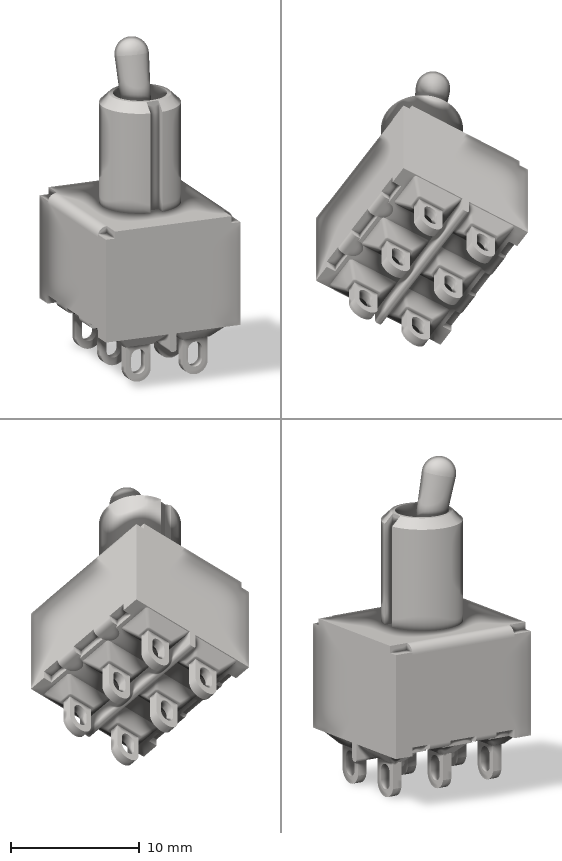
import cadquery as cq
import math

TOTAL_HEIGHT = 25.82
BODY_LENGTH = 12.7
BODY_WIDTH = 11.45
BODY_BOTTOM = 3.95
BODY_TOP = 12.88

FRAME_SPAN = 9.58
BEND_RADIUS = 0.77
LEDGE_DEPTH = 0.57
NOTCH_HEIGHT = 0.7
NOTCH_DEPTH = BEND_RADIUS

TAB_WIDTH = 1.9
TAB_DROP = 0.52
TAB_BEND_RADIUS = 0.45
TAB_OFFSET = 2.17
SEAT_RADIUS = 0.77

BUSHING_DIAMETER = 6.38
BUSHING_TOP = 21.75
BUSHING_RIM_DIAMETER = 4.85
BUSHING_CHAMFER_HEIGHT = 0.72
BORE_DIAMETER = 4.2
KEYWAY_WIDTH = 1.0
KEYWAY_FACE_X = 2.4

PIVOT_Z = 17.3
LEVER_TILT = 12.5
LEVER_TIP_RADIUS = 1.35
LEVER_TAPER = 2.6

TERMINAL_PITCH_X = 4.7
TERMINAL_PITCH_Y = 4.83
TERMINAL_THICKNESS = 0.77
TERMINAL_WIDTH = 2.12
TERMINAL_END_SAGITTA = 0.85
EYE_BOTTOM = 0.62
EYE_TOP = 2.63
EYE_WIDTH = 1.2

COLLAR_HEIGHT = 0.95
COLLAR_TOP_LENGTH = 3.12
COLLAR_TOP_WIDTH = 4.36
COLLAR_TAPER = 44.0
COLLAR_CORNER_RADIUS = 0.34
COLLAR_RIM_RADIUS = 0.13

BARRIER_BOTTOM = 2.48
BARRIER_THICKNESS = 0.6
BARRIER_FILLET = 0.23


def block(x_size, y_size, z_low, z_high, x=0.0, y=0.0):
    """Box centred on (x, y) between two heights."""
    box = cq.Workplane("XY").box(x_size, y_size, z_high - z_low, centered=(True, True, False))
    return box.translate((x, y, z_low))


def make_tab(side, x):
    """Tab that turns inward under the long wall; side is -1 or +1 along Y."""
    notch_top = BODY_BOTTOM + NOTCH_HEIGHT
    tab = block(TAB_WIDTH, NOTCH_DEPTH, notch_top - TAB_DROP, notch_top)
    outer_face = "<Y" if side < 0 else ">Y"
    tab = tab.faces(outer_face).edges("<Z").fillet(TAB_BEND_RADIUS)
    return tab.translate((x, side * (BODY_WIDTH - NOTCH_DEPTH) / 2, 0))


def make_seat(x, y):
    """Recess below a tab, widening conically up to the tab width."""
    mouth_radius = TAB_WIDTH / 2
    tab_bottom = BODY_BOTTOM + NOTCH_HEIGHT - TAB_DROP
    profile = [
        (0, BODY_BOTTOM),
        (SEAT_RADIUS, BODY_BOTTOM),
        (mouth_radius, tab_bottom),
        (0, tab_bottom),
    ]
    return cq.Workplane("XZ").polyline(profile).close().revolve(360, (0, 0), (0, 1)).translate((x, y, 0))


def make_housing():
    housing = block(BODY_LENGTH, BODY_WIDTH, BODY_BOTTOM, BODY_TOP)
    housing = housing.faces(">Z").edges("|X").fillet(BEND_RADIUS)
    ledge_length = (BODY_LENGTH - FRAME_SPAN) / 2
    ledge_x = (BODY_LENGTH - ledge_length) / 2
    strip_y = (BODY_WIDTH - BEND_RADIUS) / 2
    for x in (-ledge_x, ledge_x):
        for y in (-strip_y, strip_y):
            shoulder = block(ledge_length, BEND_RADIUS, BODY_TOP - BEND_RADIUS, BODY_TOP - LEDGE_DEPTH, x, y)
            ledge = block(ledge_length, BEND_RADIUS, BODY_TOP - LEDGE_DEPTH, BODY_TOP, x, y)
            housing = housing.union(shoulder).cut(ledge)
    for side in (-1, 1):
        notch = block(FRAME_SPAN, NOTCH_DEPTH, BODY_BOTTOM, BODY_BOTTOM + NOTCH_HEIGHT, 0, side * strip_y)
        housing = housing.cut(notch)
        for x in (-TAB_OFFSET, TAB_OFFSET):
            housing = housing.cut(make_seat(x, side * (BODY_WIDTH / 2 - NOTCH_DEPTH)))
            housing = housing.union(make_tab(side, x))
    return housing


def make_bushing():
    """Bushing whose blind bore is closed by the lever ball."""
    radius = BUSHING_DIAMETER / 2
    rim = BUSHING_RIM_DIAMETER / 2
    ball = BORE_DIAMETER / 2
    diagonal = ball * math.cos(math.pi / 4)
    bushing = (
        cq.Workplane("XZ")
        .moveTo(0, BODY_TOP)
        .lineTo(radius, BODY_TOP)
        .lineTo(radius, BUSHING_TOP - BUSHING_CHAMFER_HEIGHT)
        .lineTo(rim, BUSHING_TOP)
        .lineTo(ball, BUSHING_TOP)
        .lineTo(ball, PIVOT_Z)
        .threePointArc((diagonal, PIVOT_Z + diagonal), (0, PIVOT_Z + ball))
        .close()
        .revolve(360, (0, 0), (0, 1))
    )
    keyway_depth = radius - KEYWAY_FACE_X
    keyway = block(keyway_depth, KEYWAY_WIDTH, BODY_TOP, BUSHING_TOP, KEYWAY_FACE_X + keyway_depth / 2)
    return bushing.cut(keyway)


def make_lever():
    """Tapered lever with a domed tip, tilted toward -X about the ball centre."""
    tilt = math.radians(LEVER_TILT)
    dome_distance = (TOTAL_HEIGHT - LEVER_TIP_RADIUS - PIVOT_Z) / math.cos(tilt)
    root_radius = LEVER_TIP_RADIUS - dome_distance * math.tan(math.radians(LEVER_TAPER))
    diagonal = LEVER_TIP_RADIUS * math.cos(math.pi / 4)
    lever = (
        cq.Workplane("XZ")
        .lineTo(root_radius, 0)
        .lineTo(LEVER_TIP_RADIUS, dome_distance)
        .threePointArc((diagonal, dome_distance + diagonal), (0, dome_distance + LEVER_TIP_RADIUS))
        .close()
        .revolve(360, (0, 0), (0, 1))
    )
    return lever.rotate((0, 0, 0), (0, 1, 0), -LEVER_TILT).translate((0, 0, PIVOT_Z))


def make_terminal():
    """Flat lug with a rounded end, an eye and a sloped collar at its root."""
    half = TERMINAL_WIDTH / 2
    lug = (
        cq.Workplane("YZ")
        .moveTo(-half, BODY_BOTTOM)
        .lineTo(-half, TERMINAL_END_SAGITTA)
        .threePointArc((0, 0), (half, TERMINAL_END_SAGITTA))
        .lineTo(half, BODY_BOTTOM)
        .close()
        .extrude(TERMINAL_THICKNESS / 2, both=True)
    )
    eye = (
        cq.Workplane("YZ")
        .center(0, (EYE_BOTTOM + EYE_TOP) / 2)
        .slot2D(EYE_TOP - EYE_BOTTOM, EYE_WIDTH, 90)
        .extrude(TERMINAL_THICKNESS, both=True)
    )
    collar = (
        cq.Workplane("XY")
        .workplane(offset=BODY_BOTTOM)
        .rect(COLLAR_TOP_LENGTH, COLLAR_TOP_WIDTH)
        .extrude(-COLLAR_HEIGHT, taper=COLLAR_TAPER)
        .edges("not #Z")
        .fillet(COLLAR_CORNER_RADIUS)
        .faces("<Z")
        .edges()
        .fillet(COLLAR_RIM_RADIUS)
    )
    return lug.cut(eye).union(collar)


def make_barrier():
    barrier = block(BODY_LENGTH, BARRIER_THICKNESS, BARRIER_BOTTOM, BODY_BOTTOM)
    return barrier.faces("<Z").edges("|X").fillet(BARRIER_FILLET)


result = make_housing().union(make_bushing()).union(make_lever()).union(make_barrier())
terminal = make_terminal()
for x in (-TERMINAL_PITCH_X, 0, TERMINAL_PITCH_X):
    for y in (-TERMINAL_PITCH_Y / 2, TERMINAL_PITCH_Y / 2):
        result = result.union(terminal.translate((x, y, 0)))